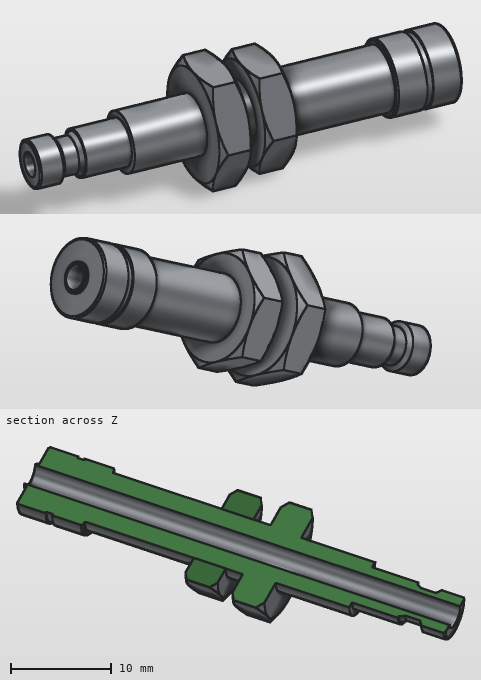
import cadquery as cq
import math

TOTAL_LENGTH = 46.0
REAR_END_Y = TOTAL_LENGTH / 2

STUB_LENGTH = 0.3
STUB_RADIUS = 1.6
STUB_CHAMFER = 0.15
COLLAR_END = 7.5
COLLAR_RADIUS = 4.05
COLLAR_CHAMFER = 0.2
GROOVE_START = 3.5
GROOVE_END = 4.2
GROOVE_RADIUS = 3.85

BARREL_RADIUS = 3.5
FRONT_BARREL_RADIUS = 3.2
FRONT_BARREL_END = 35.95

PLUG_RADIUS = 2.55
NECK_RADIUS = 2.0
STEM_END = 40.95
STEM_STEP = 0.25
NECK_START = 41.5
NECK_END = 43.05
TIP_START = 43.45
TIP_CHAMFER_LENGTH = 0.15
TIP_CHAMFER_DEPTH = 0.25
BORE_RADIUS = 1.3

HEX_THICKNESS = 3.5
HEX_CHAMFER_ANGLE = 30.0
HEAD_ACROSS_FLATS = 12.0
HEAD_START = 24.5
NUT_ACROSS_FLATS = 11.0
NUT_START = 19.25


def revolve_profile(points):
    """Revolve closed (radius, station) points about the Y axis."""
    profile = [(radius, REAR_END_Y - station) for radius, station in points]
    return cq.Workplane("XY").polyline(profile).close().revolve(360, (0, 0, 0), (0, 1, 0))


def cylinder(radius, start, end):
    """Solid cylinder on the Y axis between two stations."""
    return revolve_profile([(0, start), (radius, start), (radius, end), (0, end)])


def chamfered_hexagon(across_flats, start):
    """Hexagonal prism with flats up and down, its corners chamfered conically at both ends."""
    flat_radius = across_flats / 2
    corner_radius = flat_radius / math.cos(math.radians(30))
    chamfer_drop = (corner_radius - flat_radius) * math.tan(math.radians(HEX_CHAMFER_ANGLE))
    end = start + HEX_THICKNESS
    prism = (
        cq.Workplane("XZ", origin=(0, REAR_END_Y - start, 0))
        .polygon(6, 2 * corner_radius)
        .extrude(HEX_THICKNESS)
    )
    envelope = revolve_profile([
        (0, start),
        (flat_radius, start),
        (corner_radius, start + chamfer_drop),
        (corner_radius, end - chamfer_drop),
        (flat_radius, end),
        (0, end),
    ])
    return prism.intersect(envelope)


def make_body():
    """Bored, stepped body with its integral hexagonal head."""
    turned = revolve_profile([
        (0, 0),
        (STUB_RADIUS - STUB_CHAMFER, 0),
        (STUB_RADIUS, STUB_CHAMFER),
        (STUB_RADIUS, STUB_LENGTH),
        (COLLAR_RADIUS - COLLAR_CHAMFER, STUB_LENGTH),
        (COLLAR_RADIUS, STUB_LENGTH + COLLAR_CHAMFER),
        (COLLAR_RADIUS, GROOVE_START),
        (GROOVE_RADIUS, GROOVE_START),
        (GROOVE_RADIUS, GROOVE_END),
        (COLLAR_RADIUS, GROOVE_END),
        (COLLAR_RADIUS, COLLAR_END - COLLAR_CHAMFER),
        (COLLAR_RADIUS - COLLAR_CHAMFER, COLLAR_END),
        (BARREL_RADIUS, COLLAR_END),
        (BARREL_RADIUS, HEAD_START),
        (FRONT_BARREL_RADIUS, HEAD_START),
        (FRONT_BARREL_RADIUS, FRONT_BARREL_END),
        (PLUG_RADIUS, FRONT_BARREL_END),
        (PLUG_RADIUS, STEM_END),
        (PLUG_RADIUS - STEM_STEP, STEM_END),
        (NECK_RADIUS, NECK_START),
        (NECK_RADIUS, NECK_END),
        (PLUG_RADIUS, TIP_START),
        (PLUG_RADIUS, TOTAL_LENGTH - TIP_CHAMFER_LENGTH),
        (PLUG_RADIUS - TIP_CHAMFER_DEPTH, TOTAL_LENGTH),
        (0, TOTAL_LENGTH),
    ])
    head = chamfered_hexagon(HEAD_ACROSS_FLATS, HEAD_START)
    bore = cylinder(BORE_RADIUS, 0, TOTAL_LENGTH)
    return turned.union(head).cut(bore)


def make_nut():
    """Hexagonal lock nut fitted closely around the rear barrel."""
    hole = cylinder(BARREL_RADIUS, NUT_START, NUT_START + HEX_THICKNESS)
    return chamfered_hexagon(NUT_ACROSS_FLATS, NUT_START).cut(hole)


body = make_body()
nut = make_nut()
result = cq.Compound.makeCompound([body.val(), nut.val()])